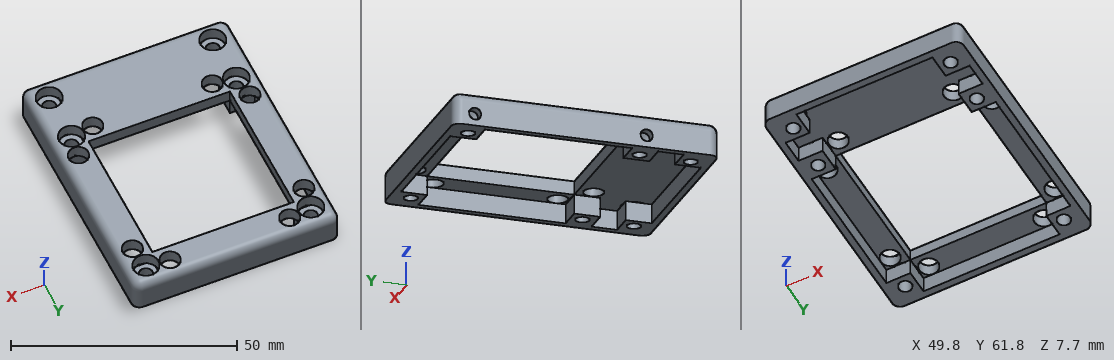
import cadquery as cq
import math

LENGTH_X = 49.8
LENGTH_Y = 61.8
HEIGHT = 7.7
EDGE_RADIUS = 2.0

PLATE_THICKNESS = 3.2
WALL_THICKNESS = 1.7

WINDOW_SIZE = 34.3
WINDOW_CENTER_Y = 6.0

SCREW_PITCH = 40.0
SCREW_DIAMETER = 3.2
COUNTERBORE_DIAMETER = 6.0
COUNTERBORE_DEPTH = 3.1
END_SCREW_LEFT_X = -19.7
END_SCREW_RIGHT_X = 20.0
END_SCREW_Y = -26.0

FLANK_DIAMETER = 4.7
FLANK_NEAR = 14.5
FLANK_FAR = 20.8

SIDE_HOLE_DIAMETER = 2.8
SIDE_HOLE_DEPTH = 2.2
DRILL_POINT_ANGLE = 118.0
SIDE_HOLE_Z = 2.8

SIGNS = (-1, 1)
QUADRANTS = [(sx, sy) for sx in SIGNS for sy in SIGNS]
pocket_depth = HEIGHT - PLATE_THICKNESS
pocket_x = LENGTH_X - 2 * WALL_THICKNESS
pocket_y = LENGTH_Y - 2 * WALL_THICKNESS
post_size = (pocket_x - WINDOW_SIZE) / 2


def around_window(x, y):
    """Mirror an offset from the window centre into all four quadrants."""
    return [(sx * x, WINDOW_CENTER_Y + sy * y) for sx, sy in QUADRANTS]


def make_shell():
    """Rounded cover, open underneath."""
    body = cq.Workplane("XY").box(LENGTH_X, LENGTH_Y, HEIGHT, centered=(True, True, False))
    body = body.edges("|Z").fillet(EDGE_RADIUS)
    body = body.faces(">Z").edges().fillet(EDGE_RADIUS)
    pocket = cq.Workplane("XY").box(pocket_x, pocket_y, pocket_depth, centered=(True, True, False))
    return body.cut(pocket)


def make_posts():
    """Square screw posts outside the window corners and in the two end corners."""
    offset = (WINDOW_SIZE + post_size) / 2
    end_y = (post_size - pocket_y) / 2
    centers = around_window(offset, offset) + [(sx * offset, end_y) for sx in SIGNS]
    return cq.Workplane("XY").pushPoints(centers).rect(post_size, post_size).extrude(HEIGHT - EDGE_RADIUS)


def cut_window(body):
    window = cq.Workplane("XY").center(0, WINDOW_CENTER_Y).rect(WINDOW_SIZE, WINDOW_SIZE).extrude(HEIGHT)
    return body.cut(window)


def cut_screw_holes(body):
    centers = around_window(SCREW_PITCH / 2, SCREW_PITCH / 2)
    centers += [(END_SCREW_LEFT_X, END_SCREW_Y), (END_SCREW_RIGHT_X, END_SCREW_Y)]
    top = cq.Workplane("XY", origin=(0, 0, HEIGHT)).pushPoints(centers)
    shafts = top.circle(SCREW_DIAMETER / 2).extrude(-HEIGHT)
    heads = top.circle(COUNTERBORE_DIAMETER / 2).extrude(-COUNTERBORE_DEPTH)
    return body.cut(shafts).cut(heads)


def cut_flank_holes(body):
    centers = around_window(FLANK_NEAR, FLANK_FAR) + around_window(FLANK_FAR, FLANK_NEAR)
    holes = cq.Workplane("XY").pushPoints(centers).circle(FLANK_DIAMETER / 2).extrude(HEIGHT)
    return body.cut(holes)


def cut_side_holes(body):
    """Drill into the posts from the -X wall, level with the screws of the window pattern."""
    radius = SIDE_HOLE_DIAMETER / 2
    tip_depth = SIDE_HOLE_DEPTH + radius / math.tan(math.radians(DRILL_POINT_ANGLE / 2))
    drill = (
        cq.Workplane("XZ")
        .polyline([(0, 0), (tip_depth, 0), (SIDE_HOLE_DEPTH, radius), (0, radius)])
        .close()
        .revolve(360, (0, 0, 0), (1, 0, 0))
    )
    for side in SIGNS:
        y = WINDOW_CENTER_Y + side * SCREW_PITCH / 2
        body = body.cut(drill.translate((-LENGTH_X / 2, y, SIDE_HOLE_Z)))
    return body


result = make_shell().union(make_posts())
result = cut_window(result)
result = cut_screw_holes(result)
result = cut_flank_holes(result)
result = cut_side_holes(result)